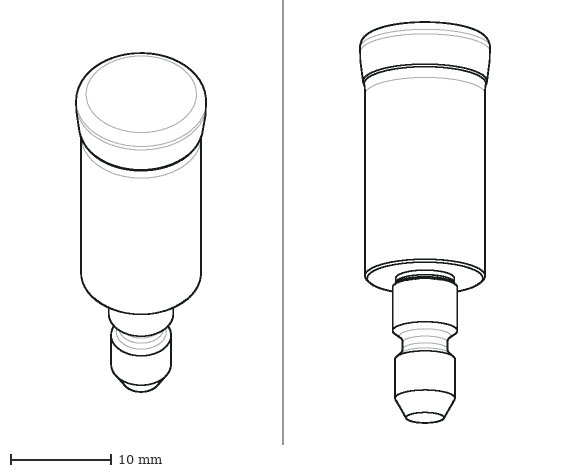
import cadquery as cq
import math

TIP_RADIUS = 1.9
PLUG_RADIUS = 3.0
GROOVE_RADIUS = 2.25
COLLAR_RADIUS = 3.25
NECK_RADIUS = 2.92
BODY_RADIUS = 6.0
FLARE_RADIUS = 6.1
HEAD_BASE_RADIUS = 6.2
HEAD_RADIUS = 13.0 / 2

PLUG_BOTTOM = 2.0
PLUG_TOP = 6.1
GROOVE_BOTTOM = 7.15
GROOVE_TOP = 7.85
COLLAR_TOP = 13.55
BODY_BOTTOM = 14.5
FLARE_BOTTOM = 33.65
HEAD_BOTTOM = 34.72
HEAD_BAND_BOTTOM = 38.05
TOTAL_HEIGHT = 39.5

GROOVE_FILLET = 0.83
GROOVE_LOWER_ANGLE = 45
GROOVE_UPPER_ANGLE = 52
COLLAR_STEP = 0.25
BODY_CHAMFER = 0.25
HEAD_BASE_CHAMFER = 0.25
HEAD_TOP_FILLET = 1.0


def groove_fillet_point(end_height, direction, angle):
    """Point on a groove fillet after turning by angle degrees away from the groove floor."""
    turn = math.radians(angle)
    radius = GROOVE_RADIUS + GROOVE_FILLET * (1 - math.cos(turn))
    height = end_height + direction * GROOVE_FILLET * math.sin(turn)
    return radius, height


lower_fillet_end = groove_fillet_point(GROOVE_BOTTOM, -1, GROOVE_LOWER_ANGLE)
upper_fillet_end = groove_fillet_point(GROOVE_TOP, 1, GROOVE_UPPER_ANGLE)
upper_cone_height = (COLLAR_RADIUS - upper_fillet_end[0]) / math.tan(math.radians(GROOVE_UPPER_ANGLE))
collar_bottom = upper_fillet_end[1] + upper_cone_height
step_top = COLLAR_TOP + COLLAR_STEP
head_fillet_bottom = TOTAL_HEIGHT - HEAD_TOP_FILLET
head_side_bottom = HEAD_BOTTOM + HEAD_BASE_CHAMFER

profile = (
    cq.Workplane("XZ")
    .lineTo(TIP_RADIUS, 0)
    .lineTo(PLUG_RADIUS, PLUG_BOTTOM)
    .lineTo(PLUG_RADIUS, PLUG_TOP)
    .lineTo(*lower_fillet_end)
    .threePointArc(
        groove_fillet_point(GROOVE_BOTTOM, -1, GROOVE_LOWER_ANGLE / 2),
        (GROOVE_RADIUS, GROOVE_BOTTOM),
    )
    .lineTo(GROOVE_RADIUS, GROOVE_TOP)
    .threePointArc(groove_fillet_point(GROOVE_TOP, 1, GROOVE_UPPER_ANGLE / 2), upper_fillet_end)
    .lineTo(COLLAR_RADIUS, collar_bottom)
    .lineTo(COLLAR_RADIUS, COLLAR_TOP)
)

profile = (
    profile
    .lineTo(PLUG_RADIUS, COLLAR_TOP)
    .lineTo(PLUG_RADIUS, step_top)
    .lineTo(NECK_RADIUS, step_top + COLLAR_STEP)
    .lineTo(NECK_RADIUS, BODY_BOTTOM)
    .lineTo(BODY_RADIUS - BODY_CHAMFER, BODY_BOTTOM)
    .lineTo(BODY_RADIUS, BODY_BOTTOM + BODY_CHAMFER)
    .lineTo(BODY_RADIUS, FLARE_BOTTOM)
)

profile = (
    profile
    .tangentArcPoint((FLARE_RADIUS, HEAD_BOTTOM), relative=False)
    .lineTo(HEAD_BASE_RADIUS, head_side_bottom)
    .threePointArc(
        (HEAD_RADIUS - (HEAD_RADIUS - HEAD_BASE_RADIUS) / 4, (head_side_bottom + HEAD_BAND_BOTTOM) / 2),
        (HEAD_RADIUS, HEAD_BAND_BOTTOM),
    )
    .lineTo(HEAD_RADIUS, head_fillet_bottom)
    .tangentArcPoint((HEAD_RADIUS - HEAD_TOP_FILLET, TOTAL_HEIGHT), relative=False)
    .lineTo(0, TOTAL_HEIGHT)
    .close()
)

result = profile.revolve(360, (0, 0), (0, 1))